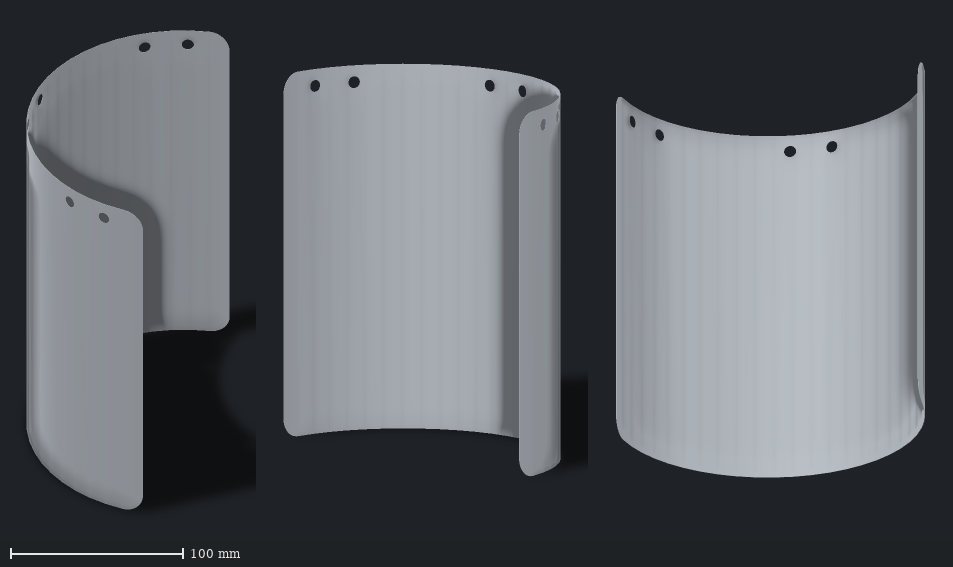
import cadquery as cq
import math

height = 216.0
outer_radius = 91.45
thickness = 0.25
overall_depth = 93.11
flat_length = overall_depth - outer_radius
corner_radius = 12.3

hole_diameter = 7.0
hole_drop = 10.0
hole_pitch = 25.4
pair_angle = 67.6
half_pitch_angle = math.degrees(hole_pitch / 2 / outer_radius)


def sheet():
    """U-shaped sheet section, open toward +X, extruded to full height."""
    inner_radius = outer_radius - thickness
    return (
        cq.Workplane("XY")
        .moveTo(flat_length, outer_radius)
        .lineTo(0, outer_radius)
        .threePointArc((-outer_radius, 0), (0, -outer_radius))
        .lineTo(flat_length, -outer_radius)
        .lineTo(flat_length, -inner_radius)
        .lineTo(0, -inner_radius)
        .threePointArc((-inner_radius, 0), (0, inner_radius))
        .lineTo(flat_length, inner_radius)
        .close()
        .extrude(height)
    )


def rounded_envelope():
    """Block around the sheet whose +X top and bottom edges are rounded along Y."""
    return (
        cq.Workplane("XY")
        .box(overall_depth, 2 * outer_radius, height, centered=(False, True, False))
        .translate((-outer_radius, 0, 0))
        .edges("|Y and >X")
        .fillet(corner_radius)
    )


def radial_hole(angle):
    """Cutter pointing radially outward, at an angle in degrees from the -X direction."""
    return (
        cq.Workplane("YZ")
        .center(0, height - hole_drop)
        .circle(hole_diameter / 2)
        .extrude(-(outer_radius + thickness))
        .rotate((0, 0, 0), (0, 0, 1), angle)
    )


result = sheet().intersect(rounded_envelope())
for pair in (-1, 0, 1):
    for side in (-1, 1):
        result = result.cut(radial_hole(pair * pair_angle + side * half_pitch_angle))